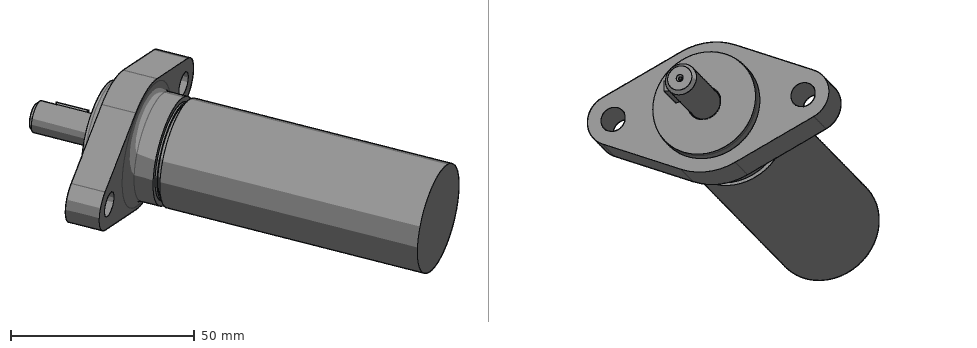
import cadquery as cq
import math

total_length = 118.7

shaft_diameter = 9.0
shaft_chamfer = 1.0
centre_drill_diameter = 1.0
centre_drill_depth = 2.0
centre_countersink_diameter = 2.0

pilot_start = 19.8
pilot_diameter = 30.0
pilot_lead_length = 0.8
pilot_lead_inset = 0.1
shaft_clearance_diameter = 9.5
shaft_clearance_depth = 0.5

flange_start = 23.0
flange_thickness = 10.0
flange_end = flange_start + flange_thickness
flange_span = 70.0
flange_height = 37.9
flange_hole_spacing = 55.1
flange_hole_diameter = 7.0

body_diameter = 31.0
collar_fillet = 2.5
collar_end = 41.1
groove_step_end = 41.7
groove_step_diameter = 28.0
groove_end = 43.1
groove_diameter = 26.8

key_disc_radius = 5.0
key_width = 3.0
key_height = 3.7
key_top = 6.0
key_centre_x = 8.9
key_centre_y = key_top - key_height + key_disc_radius


def cylinder(start, end, diameter):
    """Solid cylinder on the X axis between two X positions."""
    return cq.Workplane("YZ", origin=(start, 0, 0)).circle(diameter / 2).extrude(end - start)


def make_turned_body():
    """Everything round about the X axis, as one revolved half outline."""
    shaft_radius = shaft_diameter / 2
    clearance_radius = shaft_clearance_diameter / 2
    clearance_floor = pilot_start + shaft_clearance_depth
    pilot_radius = pilot_diameter / 2
    body_radius = body_diameter / 2
    fillet_turn = collar_fillet * (1 - math.sqrt(0.5))
    return (
        cq.Workplane("XY")
        .moveTo(0, 0)
        .lineTo(0, shaft_radius - shaft_chamfer)
        .lineTo(shaft_chamfer, shaft_radius)
        .lineTo(clearance_floor, shaft_radius)
        .lineTo(clearance_floor, clearance_radius)
        .lineTo(pilot_start, clearance_radius)
        .lineTo(pilot_start, pilot_radius - pilot_lead_inset)
        .lineTo(pilot_start + pilot_lead_length, pilot_radius)
        .lineTo(flange_end, pilot_radius)
        .lineTo(flange_end, body_radius + collar_fillet)
        .threePointArc(
            (flange_end + fillet_turn, body_radius + fillet_turn),
            (flange_end + collar_fillet, body_radius),
        )
        .lineTo(collar_end, body_radius)
        .lineTo(collar_end, groove_step_diameter / 2)
        .lineTo(groove_step_end, groove_step_diameter / 2)
        .lineTo(groove_step_end, groove_diameter / 2)
        .lineTo(groove_end, groove_diameter / 2)
        .lineTo(groove_end, body_radius)
        .lineTo(total_length, body_radius)
        .lineTo(total_length, 0)
        .close()
        .revolve(360, (0, 0, 0), (1, 0, 0))
    )


def make_flange():
    """Rhombic plate: a central disc and two ears joined by tangent edges, with two holes."""
    hub_radius = flange_height / 2
    ear_offset = flange_hole_spacing / 2
    ear_radius = flange_span / 2 - ear_offset
    lean = math.asin((hub_radius - ear_radius) / ear_offset)
    hub_y = hub_radius * math.sin(lean)
    hub_z = hub_radius * math.cos(lean)
    ear_y = ear_offset + ear_radius * math.sin(lean)
    ear_z = ear_radius * math.cos(lean)
    plate = (
        cq.Workplane("YZ", origin=(flange_start, 0, 0))
        .moveTo(-hub_y, hub_z)
        .threePointArc((0, hub_radius), (hub_y, hub_z))
        .lineTo(ear_y, ear_z)
        .threePointArc((flange_span / 2, 0), (ear_y, -ear_z))
        .lineTo(hub_y, -hub_z)
        .threePointArc((0, -hub_radius), (-hub_y, -hub_z))
        .lineTo(-ear_y, -ear_z)
        .threePointArc((-flange_span / 2, 0), (-ear_y, ear_z))
        .close()
        .extrude(flange_thickness)
    )
    holes = (
        cq.Workplane("YZ", origin=(flange_start, 0, 0))
        .pushPoints([(-ear_offset, 0), (ear_offset, 0)])
        .circle(flange_hole_diameter / 2)
        .extrude(flange_thickness)
    )
    return plate.cut(holes)


def make_key():
    """Disc segment with its flat top facing +Y and its round bottom sunk in the shaft."""
    disc = (
        cq.Workplane("XY", origin=(key_centre_x, key_centre_y, 0))
        .circle(key_disc_radius)
        .extrude(key_width / 2, both=True)
    )
    disc_diameter = 2 * key_disc_radius
    above_top = (
        cq.Workplane("XY")
        .box(disc_diameter, disc_diameter, key_width)
        .translate((key_centre_x, key_top + key_disc_radius, 0))
    )
    return disc.cut(above_top)


def make_centre_hole():
    """Small drilled centre in the shaft tip with a 90 degree countersink."""
    countersink_depth = (centre_countersink_diameter - centre_drill_diameter) / 2
    countersink = (
        cq.Workplane("YZ")
        .circle(centre_countersink_diameter / 2)
        .workplane(offset=countersink_depth)
        .circle(centre_drill_diameter / 2)
        .loft()
    )
    return cylinder(0, centre_drill_depth, centre_drill_diameter).union(countersink)


result = make_turned_body().union(make_flange()).union(make_key()).cut(make_centre_hole())